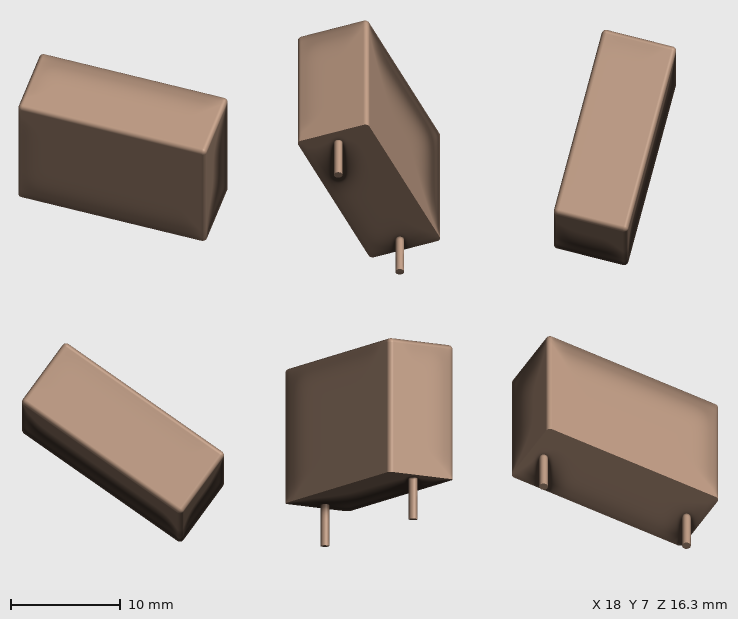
import cadquery as cq

length = 18.0
width = 7.0
height = 12.5
edge_radius = 0.41

lead_diameter = 0.8
lead_length = 3.82
lead_pitch = 15.0


def make_housing():
    """Block standing on Z = 0, rounded on every edge except around its flat base."""
    block = cq.Workplane("XY").box(length, width, height, centered=(True, True, False))
    return block.edges("|Z or >Z").fillet(edge_radius)


def make_lead(x):
    """Round lead hanging straight down from the housing base."""
    return cq.Workplane("XY").center(x, 0).circle(lead_diameter / 2).extrude(-lead_length)


housing = make_housing()
leads = [make_lead(side * lead_pitch / 2) for side in (-1, 1)]

result = cq.Compound.makeCompound([housing.val(), *[lead.val() for lead in leads]])